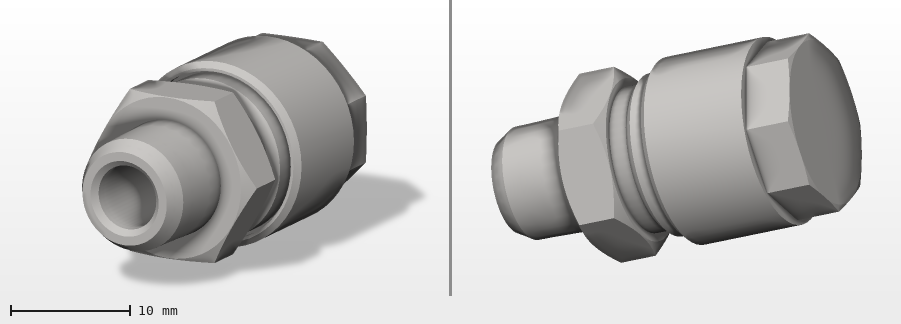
import cadquery as cq
import math

tip_chamfer_end = 1.4
hex_front = 7.5
hex_back = 12.0
neck_end = 13.5
ring_chamfer_end = 14.2
sleeve_front = 15.5
sleeve_back = 25.0
total_length = 29.0

across_flats = 14.0
thread_base_radius = 5.02
thread_taper = 1 / 16
tip_chamfer_angle = 30.0
neck_radius = 6.25
ring_radius = 6.95
sleeve_radius = 8.0
sleeve_chamfer = 0.5

gap_radius = 7.25
gap_depth = 1.0

hexagon_sides = 6
octagon_sides = 8
hex_face_radius = 6.95
hex_chamfer_angle = 30.0
octagon_face_radius = 7.0
octagon_chamfer_angle = 15.0

bore_radius = 2.75
bore_depth = 12.0
bore_chamfer = 0.5

thread_tip_radius = thread_base_radius - thread_taper / 2 * (hex_front - tip_chamfer_end)
tip_face_radius = thread_tip_radius - tip_chamfer_end * math.tan(math.radians(tip_chamfer_angle))


def revolve_profile(points):
    """Turn a closed (radius, Y) outline about the Y axis."""
    return cq.Workplane("XY").polyline(points).close().revolve(360, (0, 0), (0, 1))


def polygon_prism(sides, start, end, first_corner_angle):
    """Regular prism along Y, sized by its width across flats."""
    corner_diameter = across_flats / math.cos(math.pi / sides)
    prism = cq.Workplane("XZ").polygon(sides, corner_diameter).extrude(start - end)
    return prism.rotate((0, 0, 0), (0, 1, 0), first_corner_angle).translate((0, start, 0))


def chamfer_slope(angle):
    """Radius gained per unit of axial travel on a corner chamfer."""
    return 1 / math.tan(math.radians(angle))


def make_hexagon():
    """Hexagon with corners on X, turned down conically at both ends."""
    mid = (hex_front + hex_back) / 2
    reach = hex_face_radius + (mid - hex_front) * chamfer_slope(hex_chamfer_angle)
    envelope = revolve_profile([
        (0, hex_front),
        (hex_face_radius, hex_front),
        (reach, mid),
        (hex_face_radius, hex_back),
        (0, hex_back),
    ])
    return polygon_prism(hexagon_sides, hex_front, hex_back, 0).intersect(envelope)


def make_octagon():
    """Octagon with flats on X and Z, turned down conically at its free end."""
    reach = octagon_face_radius + (total_length - sleeve_back) * chamfer_slope(octagon_chamfer_angle)
    envelope = revolve_profile([
        (0, sleeve_back),
        (reach, sleeve_back),
        (octagon_face_radius, total_length),
        (0, total_length),
    ])
    half_side_angle = 180 / octagon_sides
    return polygon_prism(octagon_sides, sleeve_back, total_length, half_side_angle).intersect(envelope)


def make_turned_body():
    """Tapered thread, neck, ring and open-fronted sleeve as one turned shape."""
    return revolve_profile([
        (0, 0),
        (tip_face_radius, 0),
        (thread_tip_radius, tip_chamfer_end),
        (thread_base_radius, hex_front),
        (neck_radius, hex_front),
        (neck_radius, neck_end),
        (ring_radius, ring_chamfer_end),
        (ring_radius, sleeve_front + gap_depth),
        (gap_radius, sleeve_front + gap_depth),
        (gap_radius, sleeve_front),
        (sleeve_radius - sleeve_chamfer, sleeve_front),
        (sleeve_radius, sleeve_front + sleeve_chamfer),
        (sleeve_radius, sleeve_back),
        (0, sleeve_back),
    ])


def make_bore():
    """Flat-bottomed bore with a chamfered mouth."""
    return revolve_profile([
        (0, 0),
        (bore_radius + bore_chamfer, 0),
        (bore_radius, bore_chamfer),
        (bore_radius, bore_depth),
        (0, bore_depth),
    ])


result = make_turned_body().union(make_hexagon()).union(make_octagon()).cut(make_bore())